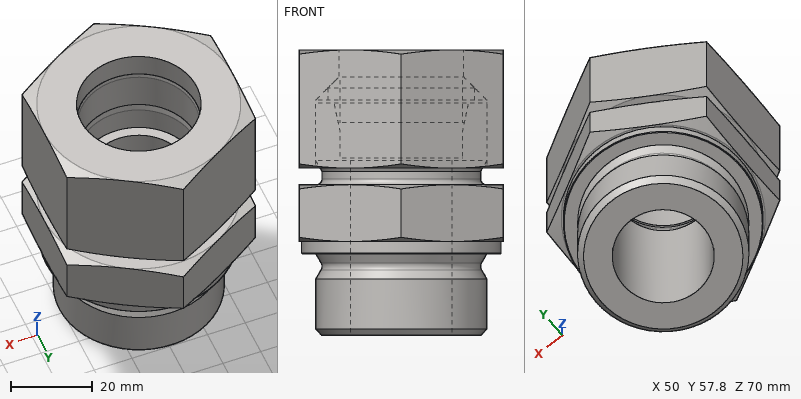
import cadquery as cq
import math

total_height = 70.0
hex_across_corners = 57.75
hex_half_angle = math.radians(30)
hex_chamfer_angle = math.radians(15)

nut_bottom = 41.0
nut_lip_dia = 30.5
nut_lip_depth = 6.6
nut_seat_half_angle = math.radians(45)

collar_bottom = 20.0
hex_bottom = 23.0
hex_top = 36.95
mouth_height = 57.0
tube_stop_height = 43.5

thread_dia = 42.0
undercut_dia = 39.0
collar_dia = 49.0
through_bore_dia = 25.0
tube_dia = 30.0
mouth_dia = 33.0

collar_edge_chamfer = 0.2
stud_chamfer_width = 1.5
stud_chamfer_height = 1.6
groove_radius = 1.75
groove_angle = math.radians(30)
neck_fillet = 1.4
neck_top = 40.25

ring_bottom = 52.15
ring_collar_dia = 36.0
ring_lead_height = 1.0

thread_radius = thread_dia / 2
undercut_radius = undercut_dia / 2
tube_radius = tube_dia / 2
mouth_radius = mouth_dia / 2
hex_across_flats = hex_across_corners * math.cos(hex_half_angle)
undercut_depth = thread_radius - undercut_radius
neck_runout_height = undercut_depth / math.tan(groove_angle)

cone_half_angle = math.radians(12)
cone_bottom = mouth_height - (mouth_radius - tube_radius) / math.tan(cone_half_angle)
ring_nose_radius = tube_radius + (ring_bottom - cone_bottom) * math.tan(cone_half_angle)
ring_lead_radius = tube_radius + ring_lead_height * math.tan(cone_half_angle)

seat_top = total_height - nut_lip_depth
seat_height = (thread_dia - nut_lip_dia) / 2 / math.tan(nut_seat_half_angle)
ring_collar_top = seat_top - (ring_collar_dia - nut_lip_dia) / 2 / math.tan(nut_seat_half_angle)


def revolve_profile(profile):
    """Close a half section drawn in the XZ plane and turn it about the Z axis."""
    return profile.close().revolve(360, (0, 0, 0), (0, 1, 0))


def chamfered_hexagon(bottom, top):
    """Hexagon with corners on +-Y, its corners turned down by a shallow cone at both ends."""
    flat_radius = hex_across_flats / 2
    corner_radius = hex_across_corners / 2
    drop = (corner_radius - flat_radius) * math.tan(hex_chamfer_angle)
    prism = (
        cq.Workplane("XY", origin=(0, 0, bottom))
        .polygon(6, hex_across_corners)
        .extrude(top - bottom)
        .rotate((0, 0, 0), (0, 0, 1), math.degrees(hex_half_angle))
    )
    turned_envelope = revolve_profile(
        cq.Workplane("XZ")
        .moveTo(0, bottom)
        .lineTo(flat_radius, bottom)
        .lineTo(corner_radius, bottom + drop)
        .lineTo(corner_radius, top - drop)
        .lineTo(flat_radius, top)
        .lineTo(0, top)
    )
    return prism.intersect(turned_envelope)


def stud_end():
    """Threaded stud, rounded groove and collar below the hexagon."""
    tangent_radius = undercut_radius + groove_radius * (1 - math.cos(groove_angle))
    arc_half_height = groove_radius * math.sin(groove_angle)
    cone_height = (thread_radius - tangent_radius) / math.tan(groove_angle)
    groove_middle = collar_bottom - cone_height - arc_half_height
    collar_radius = collar_dia / 2
    return revolve_profile(
        cq.Workplane("XZ")
        .moveTo(0, 0)
        .lineTo(thread_radius - stud_chamfer_width, 0)
        .lineTo(thread_radius, stud_chamfer_height)
        .lineTo(thread_radius, groove_middle - arc_half_height - cone_height)
        .lineTo(tangent_radius, groove_middle - arc_half_height)
        .threePointArc((undercut_radius, groove_middle), (tangent_radius, groove_middle + arc_half_height))
        .lineTo(thread_radius, collar_bottom)
        .lineTo(collar_radius - collar_edge_chamfer, collar_bottom)
        .lineTo(collar_radius, collar_bottom + collar_edge_chamfer)
        .lineTo(collar_radius, hex_bottom)
        .lineTo(0, hex_bottom)
    )


def nut_end():
    """Filleted neck and threaded end above the hexagon."""
    arc_inset = neck_fillet * (1 - math.sqrt(0.5))
    return revolve_profile(
        cq.Workplane("XZ")
        .moveTo(0, hex_top)
        .lineTo(undercut_radius + neck_fillet, hex_top)
        .threePointArc(
            (undercut_radius + arc_inset, hex_top + arc_inset),
            (undercut_radius, hex_top + neck_fillet),
        )
        .lineTo(undercut_radius, neck_top)
        .lineTo(thread_radius, neck_top + neck_runout_height)
        .lineTo(thread_radius, mouth_height)
        .lineTo(0, mouth_height)
    )


def body_bore():
    """Through bore, tube socket and tube cone."""
    return revolve_profile(
        cq.Workplane("XZ")
        .moveTo(0, 0)
        .lineTo(through_bore_dia / 2, 0)
        .lineTo(through_bore_dia / 2, tube_stop_height)
        .lineTo(tube_radius, tube_stop_height)
        .lineTo(tube_radius, cone_bottom)
        .lineTo(mouth_radius, mouth_height)
        .lineTo(0, mouth_height)
    )


def make_fitting_body():
    hexagon = chamfered_hexagon(hex_bottom, hex_top)
    return stud_end().union(hexagon).union(nut_end()).cut(body_bore())


def make_nut():
    """Hexagon nut with a threaded bore, a conical seat for the ring and a lip around the tube."""
    bore = revolve_profile(
        cq.Workplane("XZ")
        .moveTo(0, nut_bottom)
        .lineTo(thread_radius, nut_bottom)
        .lineTo(thread_radius, seat_top - seat_height)
        .lineTo(nut_lip_dia / 2, seat_top)
        .lineTo(nut_lip_dia / 2, total_height)
        .lineTo(0, total_height)
    )
    return chamfered_hexagon(nut_bottom, total_height).cut(bore)


def make_cutting_ring():
    """Ring held between the nut seat and the tube cone, with a short lead-in for the tube."""
    return revolve_profile(
        cq.Workplane("XZ")
        .moveTo(tube_radius, ring_bottom)
        .lineTo(ring_nose_radius, ring_bottom)
        .lineTo(mouth_radius, mouth_height)
        .lineTo(ring_collar_dia / 2, mouth_height)
        .lineTo(ring_collar_dia / 2, ring_collar_top)
        .lineTo(nut_lip_dia / 2, seat_top)
        .lineTo(ring_lead_radius, seat_top)
        .lineTo(tube_radius, seat_top - ring_lead_height)
    )


fitting_body = make_fitting_body().solids()
nut = make_nut().solids()
cutting_ring = make_cutting_ring().solids()

result = cq.Compound.makeCompound([fitting_body.val(), nut.val(), cutting_ring.val()])